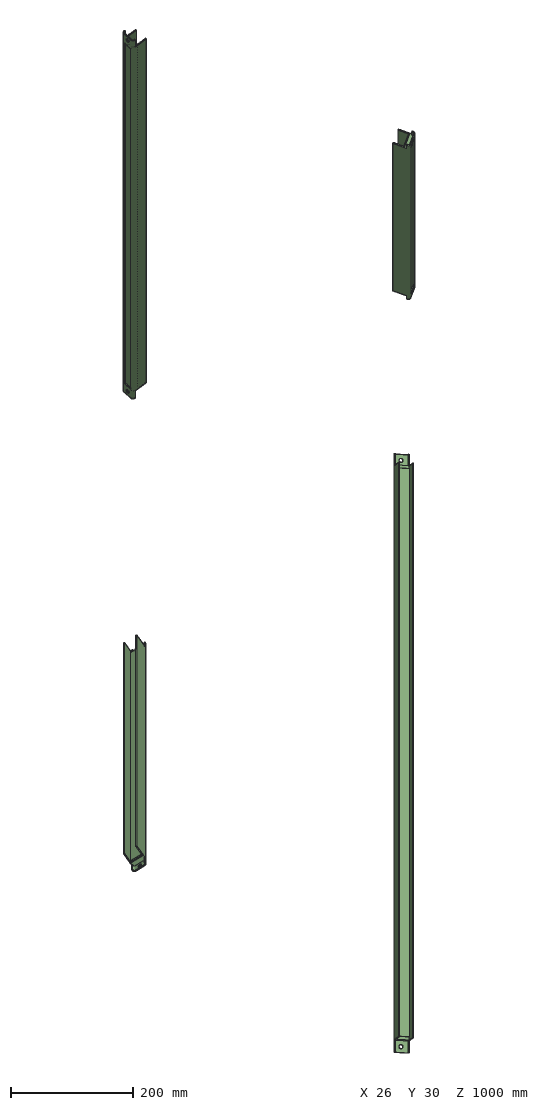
import cadquery as cq

width = 26.0
depth = 30.0
length = 1000.0

wall = 2.0
inner_bend_radius = 2.0
outer_bend_radius = inner_bend_radius + wall
leg_setback = 20.0
lip_depth = 6.0

bar_back = 10.0
bar_end_margin = leg_setback
plate_thickness = 2.0

window_width = 15.0
window_end_margin = 25.0
plate_end_margin = window_end_margin

hole_diameter = 6.6
hole_end_distance = 10.0


def make_block(x_size, y_start, y_end, end_margin):
    """Long block centred on X that stops short of both ends by end_margin."""
    block = cq.Workplane("XY").box(
        x_size, y_end - y_start, length - 2 * end_margin, centered=(True, False, False)
    )
    return block.translate((0, y_start, end_margin))


def make_rounded_block(x_size, y_start, y_end, end_margin, radius):
    """Long block with its two front edges rounded."""
    block = make_block(x_size, y_start, y_end, end_margin)
    return block.edges("|Z and <Y").fillet(radius)


def make_channel():
    outside = make_rounded_block(width, 0, depth, 0, outer_bend_radius)
    inside = make_rounded_block(width - 2 * wall, wall, depth, 0, inner_bend_radius)
    return outside.cut(inside)


def cut_back_legs(body):
    for z_start in (0, length - leg_setback):
        cutter = cq.Workplane("XY").box(
            width, depth - lip_depth, leg_setback, centered=(True, False, False)
        )
        body = body.cut(cutter.translate((0, lip_depth, z_start)))
    return body


def cut_window(body):
    return body.cut(make_block(window_width, 0, wall, window_end_margin))


def cut_mounting_holes(body):
    for z in (hole_end_distance, length - hole_end_distance):
        drill = cq.Workplane("XZ").center(0, z).circle(hole_diameter / 2).extrude(-wall)
        body = body.cut(drill)
    return body


def make_bar():
    inside_width = width - 2 * wall
    bar = make_rounded_block(inside_width, wall, bar_back, bar_end_margin, inner_bend_radius)
    plate = make_block(inside_width, bar_back, bar_back + plate_thickness, plate_end_margin)
    return bar.union(plate)


channel = cut_back_legs(make_channel())
channel = cut_window(channel)
channel = cut_mounting_holes(channel)
result = channel.union(make_bar())